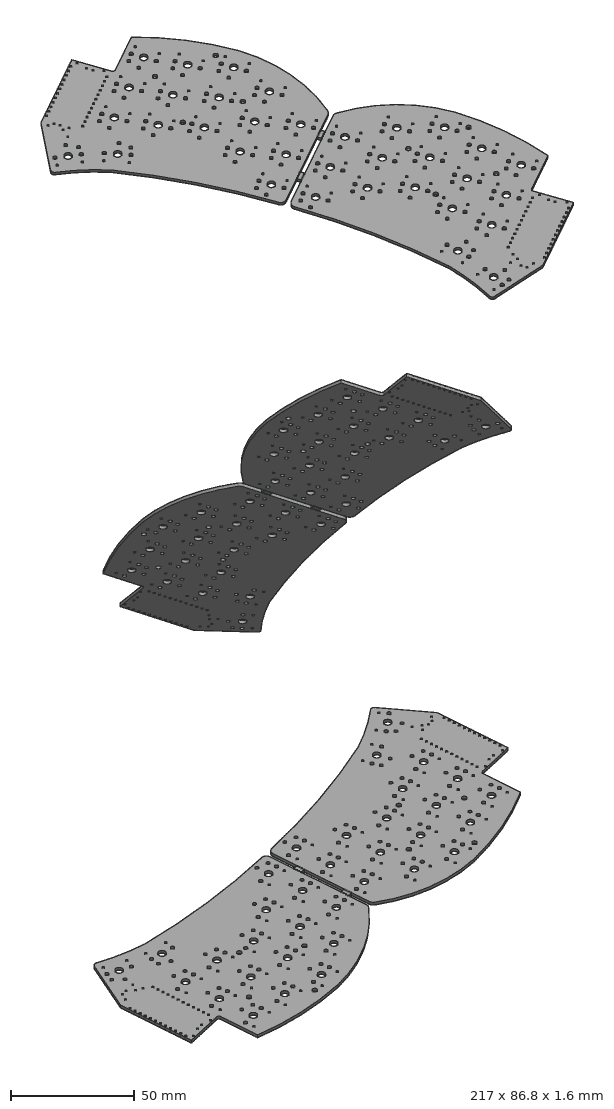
import cadquery as cq
import math

LENGTH = 217.0
THICKNESS = 1.6

GAP = 2.2
GAP_TOP_Y = 25.4
GAP_BOTTOM_Y = -26.5
GAP_CORNER_RADIUS = 2.4
TOP_INNER_MID = (21.3, 38.2)
TOP_PEAK = (46.6, 43.4)
TOP_OUTER_MID = (69.0, 41.0)
SHOULDER = (90.0, 35.0)
ARM_TOP_Y = 15.2
ARM_CORNER_RADIUS = 1.0
ARM_BOTTOM_Y = -20.4
TIP = (95.2, -44.0)
TIP_RADIUS = 1.5
BOTTOM_OUTER_MID = (83.5, -38.0)
BOTTOM_KNEE = (72.9, -34.0)
BOTTOM_INNER_MID = (39.0, -28.5)

TAB_HEIGHT = 4.0
TAB_CENTERS_Y = [13.5, -10.2]
BITE_DIAMETER = 0.5
BITE_PITCH = 1.0
BITES_PER_EDGE = 4
BITE_INSET = 0.1

KEY_PITCH_X = 18.0
COLUMN_SPAN_Y = 34.0
KEY_PITCH_Y = COLUMN_SPAN_Y / 2
FIRST_COLUMN_X = 9.5
COLUMN_MIDDLE_Y = [-1.5, 10.5, 17.4, 12.1, 9.5]
ROWS = [-1, 0, 1]
THUMB_KEYS = [(73.5, -25.2, 165), (92.0, -33.2, 150)]

STEM_DIAMETER = 3.5
POST_DIAMETER = 1.7
POSTS = [(-5.5, 0), (5.5, 0)]
PIN_DIAMETER = 1.5
PINS = [(0, -5.9), (-5.0, -4.0)]
CLIP_DIAMETER = 1.0
CLIPS = [(-5.2, 4.1), (5.2, 4.1)]

MOUNT_DIAMETER = 2.2
MOUNTS = [(54.7, 37.7), (54.7, -0.2), (35.8, 18.7), (73.8, 18.7)]

HEADER_DIAMETER = 0.9
HEADER_ROWS_X = [92.0, 107.5]
HEADER_TOP_Y = 11.7
HEADER_LENGTH = 28.0
HEADER_COUNT = 12

SMALL_DIAMETER = 0.8
SMALL_BOTH = [(94.1, 14.3), (105.9, 14.3)]
SMALL_LEFT = [
    (-101.3, 13.0),
    (-98.5, 13.0),
    (-103.3, -19.0),
    (-100.7, -19.0),
    (-96.7, -19.0),
    (-105.2, -20.8),
    (-98.7, -20.8),
    (-95.7, -23.6),
]
SMALL_RIGHT = [
    (98.5, 13.0),
    (101.3, 13.0),
    (95.0, -19.0),
    (97.6, -20.8),
    (104.5, -20.8),
    (95.7, -23.6),
    (100.2, -23.6),
    (102.8, -23.6),
]


def mirrored(points):
    """Points of the right half together with their mirror images on the left half."""
    return points + [(-x, y) for x, y in points]


def right_half():
    gap_top = (GAP / 2, GAP_TOP_Y)
    gap_bottom = (GAP / 2, GAP_BOTTOM_Y)
    arm_corner = (SHOULDER[0], ARM_TOP_Y)
    half = (
        cq.Workplane("XY")
        .moveTo(*gap_bottom)
        .lineTo(*gap_top)
        .threePointArc(TOP_INNER_MID, TOP_PEAK)
        .threePointArc(TOP_OUTER_MID, SHOULDER)
        .lineTo(*arm_corner)
        .lineTo(LENGTH / 2, ARM_TOP_Y)
        .lineTo(LENGTH / 2, ARM_BOTTOM_Y)
        .lineTo(*TIP)
        .threePointArc(BOTTOM_OUTER_MID, BOTTOM_KNEE)
        .threePointArc(BOTTOM_INNER_MID, gap_bottom)
        .close()
        .extrude(THICKNESS)
    )
    rounded_corners = [
        (gap_top, GAP_CORNER_RADIUS),
        (gap_bottom, GAP_CORNER_RADIUS),
        (arm_corner, ARM_CORNER_RADIUS),
        (TIP, TIP_RADIUS),
    ]
    for (x, y), radius in rounded_corners:
        corner = cq.selectors.NearestToPointSelector((x, y, THICKNESS / 2))
        half = half.edges("|Z").edges(corner).fillet(radius)
    return half


def blank():
    right = right_half()
    board = right.union(right.mirror("YZ"))
    for y in TAB_CENTERS_Y:
        tab = cq.Workplane("XY").center(0, y).rect(GAP, TAB_HEIGHT).extrude(THICKNESS)
        board = board.union(tab)
    return board


def drill(board, diameter, points):
    tools = cq.Workplane("XY").pushPoints(points).circle(diameter / 2).extrude(THICKNESS)
    return board.cut(tools)


def keys():
    """Centre and turn of every key on both halves."""
    placed = []
    for column, middle_y in enumerate(COLUMN_MIDDLE_Y):
        x = FIRST_COLUMN_X + column * KEY_PITCH_X
        for row in ROWS:
            y = middle_y + row * KEY_PITCH_Y
            placed += [(x, y, 0), (-x, y, 0)]
    for x, y, turn in THUMB_KEYS:
        placed += [(x, y, turn), (-x, y, -turn)]
    return placed


def at_every_key(local_points):
    points = []
    for key_x, key_y, turn in keys():
        cos_turn = math.cos(math.radians(turn))
        sin_turn = math.sin(math.radians(turn))
        for x, y in local_points:
            points.append((key_x + x * cos_turn - y * sin_turn, key_y + x * sin_turn + y * cos_turn))
    return points


def header_points():
    pitch = HEADER_LENGTH / (HEADER_COUNT - 1)
    return [(x, HEADER_TOP_Y - i * pitch) for x in HEADER_ROWS_X for i in range(HEADER_COUNT)]


def bite_points():
    lowest = -(BITES_PER_EDGE - 1) / 2 * BITE_PITCH
    x = GAP / 2 - BITE_INSET
    return [(x, y + lowest + i * BITE_PITCH) for y in TAB_CENTERS_Y for i in range(BITES_PER_EDGE)]


board = blank()
board = drill(board, STEM_DIAMETER, at_every_key([(0, 0)]))
board = drill(board, POST_DIAMETER, at_every_key(POSTS))
board = drill(board, PIN_DIAMETER, at_every_key(PINS))
board = drill(board, CLIP_DIAMETER, at_every_key(CLIPS))
board = drill(board, MOUNT_DIAMETER, mirrored(MOUNTS))
board = drill(board, HEADER_DIAMETER, mirrored(header_points()))
board = drill(board, SMALL_DIAMETER, mirrored(SMALL_BOTH) + SMALL_LEFT + SMALL_RIGHT)
board = drill(board, BITE_DIAMETER, mirrored(bite_points()))
result = board